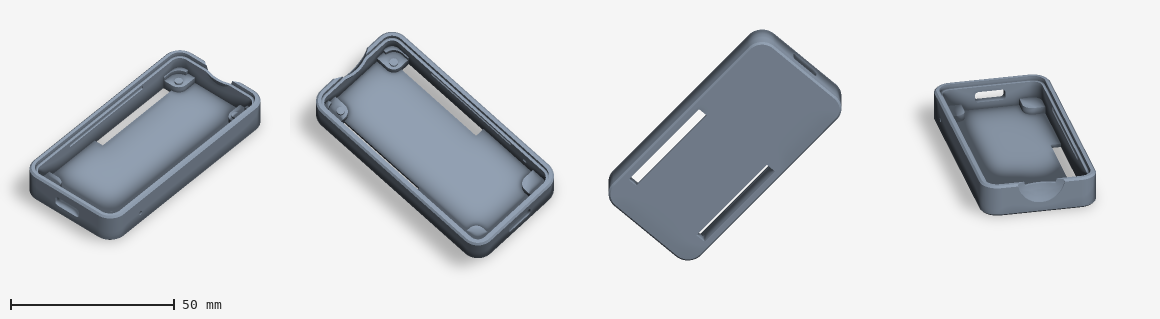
import cadquery as cq
import math

WIDTH = 36.21
LENGTH = 72.6
HEIGHT = 10.18
CORNER_RADIUS = 5.5
EDGE_CHAMFER = 0.6

WALL = 2.5
FLOOR = 1.1
LIP_WALL = 1.6
LIP_DEPTH = 1.5

POST_INNER_X = 9.07
POST_INNER_Y = 26.6
POST_TOP_Z = 3.3
POST_CORNER_RADIUS = 3.0

PIN_X = 11.52
PIN_Y = 29.0
PIN_DIAMETER = 2.55
PIN_HEIGHT = 0.7
RIDGE_INNER_X = 11.88
RIDGE_RADIUS = 3.7
RIDGE_HEIGHT = 1.4

FLOOR_SLOT_INNER_X = 12.35
FLOOR_SLOT_START_Y = -5.4

PORT_WIDTH = 9.5
PORT_HEIGHT = 3.5
PORT_BOTTOM_Z = 3.45
PORT_CORNER_RADIUS = 1.1

GROOVE_LENGTH = 34.0
GROOVE_Z = 7.3
GROOVE_DIAMETER = 1.5
GROOVE_DEPTH = 0.4
PINHOLE_DIAMETER = 1.5
PINHOLE_Y = -23.0
PINHOLE_Z = 4.42

SCOOP_CENTER = (0, 46.6, 10.8)
BULGE_CENTER = (0, 45.8, 12.0)
SCOOP_RADIUS = 12.95
SCOOP_MOUTH_DEPTH = 0.35
BULGE_RADIUS = 13.3

INNER_X = WIDTH / 2 - WALL
INNER_Y = LENGTH / 2 - WALL
SHELF_Z = HEIGHT - LIP_DEPTH


def inset_block(inset, bottom_z, top_z):
    """Upright block whose rounded outline is the outer one moved inward."""
    return (
        cq.Workplane("XY", origin=(0, 0, bottom_z))
        .rect(WIDTH - 2 * inset, LENGTH - 2 * inset)
        .extrude(top_z - bottom_z)
        .edges("|Z")
        .fillet(CORNER_RADIUS - inset)
    )


def corner_block(inner_x, inner_y, bottom_z, top_z):
    """Box in the +X +Y corner, reaching to the cavity walls."""
    return cq.Workplane("XY").box(
        INNER_X - inner_x, INNER_Y - inner_y, top_z - bottom_z, centered=False
    ).translate((inner_x, inner_y, bottom_z))


def make_scoop():
    """Sphere up to the mouth plane, continued outward as a cylinder; revolved about Y."""
    mouth_from_center = LENGTH / 2 - SCOOP_MOUTH_DEPTH - SCOOP_CENTER[1]
    mouth_radius = math.sqrt(SCOOP_RADIUS**2 - mouth_from_center**2)
    mid_angle = math.asin(mouth_radius / SCOOP_RADIUS) / 2
    return (
        cq.Workplane("XY", origin=SCOOP_CENTER)
        .moveTo(0, -SCOOP_RADIUS)
        .threePointArc(
            (SCOOP_RADIUS * math.sin(mid_angle), -SCOOP_RADIUS * math.cos(mid_angle)),
            (mouth_radius, mouth_from_center),
        )
        .lineTo(mouth_radius, 0)
        .lineTo(0, 0)
        .close()
        .revolve(360, (0, 0), (0, 1))
    )


def make_shell():
    body = inset_block(0, 0, HEIGHT).faces("<Z or >Z").chamfer(EDGE_CHAMFER)
    body = body.cut(inset_block(WALL, FLOOR, HEIGHT))
    return body.cut(inset_block(LIP_WALL, SHELF_Z, HEIGHT))


def make_post():
    """Plain post in the +X +Y corner."""
    post = corner_block(POST_INNER_X, POST_INNER_Y, 0, POST_TOP_Z)
    return post.edges("|Z and <X and <Y").fillet(POST_CORNER_RADIUS)


def make_pin_post():
    """Post with a locating pin and a ridge curved around that pin."""
    pin = (
        cq.Workplane("XY", origin=(PIN_X, PIN_Y, POST_TOP_Z))
        .circle(PIN_DIAMETER / 2)
        .extrude(PIN_HEIGHT)
    )
    ridge = corner_block(RIDGE_INNER_X, POST_INNER_Y, POST_TOP_Z, POST_TOP_Z + RIDGE_HEIGHT)
    relief = (
        cq.Workplane("XY", origin=(PIN_X, PIN_Y, POST_TOP_Z))
        .circle(RIDGE_RADIUS)
        .extrude(RIDGE_HEIGHT)
    )
    relief_tail = (
        cq.Workplane("XY")
        .box(2 * RIDGE_RADIUS, PIN_Y - POST_INNER_Y, RIDGE_HEIGHT, centered=(True, False, False))
        .translate((PIN_X, POST_INNER_Y, POST_TOP_Z))
    )
    ridge = ridge.cut(relief).cut(relief_tail)
    return make_post().union(pin).union(ridge)


def make_floor_slot():
    return cq.Workplane("XY").box(
        INNER_X - FLOOR_SLOT_INNER_X, POST_INNER_Y - FLOOR_SLOT_START_Y, FLOOR, centered=False
    ).translate((FLOOR_SLOT_INNER_X, FLOOR_SLOT_START_Y, 0))


def make_bulge():
    """Spherical backing for the scoop, from mid-wall into the cavity and up to the lid step."""
    sphere = cq.Workplane("XY").sphere(BULGE_RADIUS).translate(BULGE_CENTER)
    return sphere.intersect(inset_block(WALL / 2, FLOOR, SHELF_Z))


def make_port():
    return (
        cq.Workplane("XY")
        .box(PORT_WIDTH, WALL, PORT_HEIGHT)
        .edges("|Y")
        .fillet(PORT_CORNER_RADIUS)
        .translate((0, (WALL - LENGTH) / 2, PORT_BOTTOM_Z + PORT_HEIGHT / 2))
    )


def make_groove():
    """Round-bottomed groove along the +X cavity wall."""
    axis_x = INNER_X + GROOVE_DEPTH - GROOVE_DIAMETER / 2
    return (
        cq.Workplane("XZ", origin=(axis_x, GROOVE_LENGTH / 2, GROOVE_Z))
        .circle(GROOVE_DIAMETER / 2)
        .extrude(GROOVE_LENGTH)
    )


def make_pinhole():
    return (
        cq.Workplane("YZ", origin=(INNER_X, PINHOLE_Y, PINHOLE_Z))
        .circle(PINHOLE_DIAMETER / 2)
        .extrude(WALL)
    )


def both_sides(feature):
    return feature.union(feature.mirror("YZ"))


posts = both_sides(make_pin_post()).union(both_sides(make_post()).mirror("XZ"))

result = make_shell()
result = result.cut(both_sides(make_floor_slot()))
result = result.union(posts.intersect(inset_block(WALL, 0, HEIGHT)))
result = result.union(make_bulge())
result = result.cut(make_scoop())
result = result.cut(make_port())
result = result.cut(both_sides(make_groove()))
result = result.cut(make_pinhole())